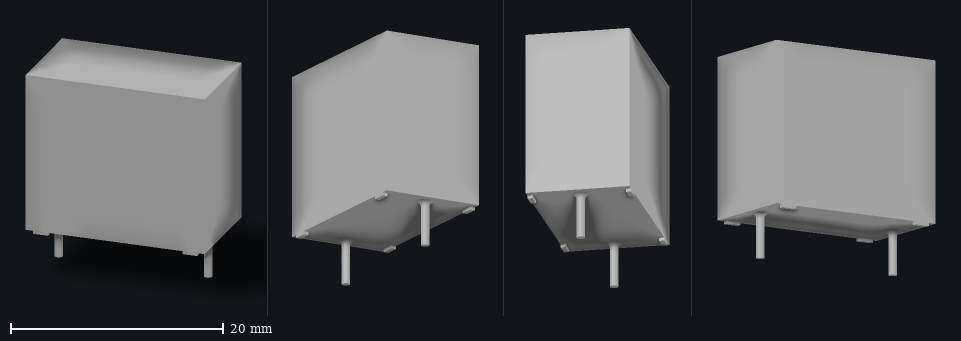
import cadquery as cq

body_length = 18.0
body_width = 10.0
seated_height = 16.0

foot_length = 1.5
foot_width = 0.5
foot_height = 0.3

lead_spacing = 15.0
lead_diameter = 0.8
lead_length = 4.0
meniscus_radius = 0.5

lead_x_positions = (-lead_spacing / 2, lead_spacing / 2)


def make_body():
    """Plain rectangular case, raised off the seating plane by the feet."""
    return (
        cq.Workplane("XY")
        .workplane(offset=foot_height)
        .rect(body_length, body_width)
        .extrude(seated_height - foot_height)
    )


def make_feet():
    """Four standoff feet, in line with the leads and flush with the long sides."""
    foot_y = (body_width - foot_width) / 2
    foot_centers = [(x, y) for x in lead_x_positions for y in (-foot_y, foot_y)]
    return (
        cq.Workplane("XY")
        .pushPoints(foot_centers)
        .rect(foot_length, foot_width)
        .extrude(foot_height)
    )


def make_lead(x):
    """Round lead with a concave flare against the underside of the body."""
    lead_radius = lead_diameter / 2
    flare_radius = lead_radius + meniscus_radius
    flare_bottom = foot_height - meniscus_radius
    half_profile = (
        cq.Workplane("XZ")
        .moveTo(0, -lead_length)
        .lineTo(lead_radius, -lead_length)
        .lineTo(lead_radius, flare_bottom)
        .radiusArc((flare_radius, foot_height), meniscus_radius)
        .lineTo(0, foot_height)
        .close()
    )
    return half_profile.revolve(360, (0, 0, 0), (0, 1, 0)).translate((x, 0, 0))


result = make_body().union(make_feet())
for lead_x in lead_x_positions:
    result = result.union(make_lead(lead_x))